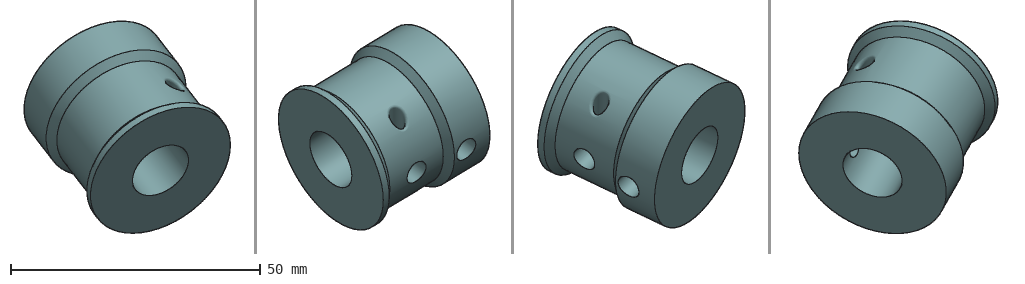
import cadquery as cq
import math

length = 28.58
rim_radius = 15.88
neck_radius = 14.3
bore_radius = 6.35
collar_length = 9.52
rim_length = 1.6
bevel = rim_radius - neck_radius

neck_length = length - collar_length - rim_length - 2 * bevel
neck_middle = collar_length + bevel + neck_length / 2

screw_hole_places = [6.35, neck_middle]
screw_hole_diameter = 5.08

cord_hole_diameter = 3.18
cord_hole_offset = 8.38
mouth_radius = 0.57


def spool_body():
    profile = (
        cq.Workplane("XY")
        .moveTo(0, bore_radius)
        .lineTo(0, rim_radius)
        .lineTo(collar_length, rim_radius)
        .lineTo(collar_length + bevel, neck_radius)
        .lineTo(length - rim_length - bevel, neck_radius)
        .lineTo(length - rim_length, rim_radius)
        .lineTo(length, rim_radius)
        .lineTo(length, bore_radius)
        .close()
    )
    return profile.revolve(360, (0, 0, 0), (1, 0, 0))


def screw_drill(x):
    """Cylinder along +Y from the spool axis to beyond the rim."""
    start = cq.Vector(x, 0, 0)
    direction = cq.Vector(0, 1, 0)
    return cq.Workplane(cq.Solid.makeCylinder(screw_hole_diameter / 2, 2 * rim_radius, start, direction))


def cord_drill():
    """Cylinder along Z, beside the bore, passing through the whole neck."""
    start = cq.Vector(neck_middle, cord_hole_offset, -rim_radius)
    return cq.Workplane(cq.Solid.makeCylinder(cord_hole_diameter / 2, 2 * rim_radius, start))


def mouth_edges(body, side):
    """Edge of the cord hole on the neck surface, above (side 1) or below (side -1) the axis."""
    height = math.sqrt(neck_radius**2 - cord_hole_offset**2)
    centre = (neck_middle, cord_hole_offset, side * height)
    reach = cord_hole_diameter / 2
    low = tuple(c - reach for c in centre)
    high = tuple(c + reach for c in centre)
    return body.edges(cq.selectors.BoxSelector(low, high))


result = spool_body().cut(cord_drill())
for side in (1, -1):
    result = mouth_edges(result, side).fillet(mouth_radius)
for x in screw_hole_places:
    result = result.cut(screw_drill(x))